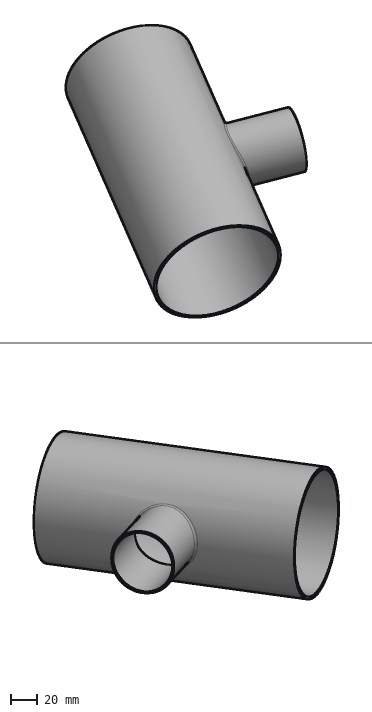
import cadquery as cq

run_length = 209.5
run_outer_diameter = 101.6
run_inner_diameter = 97.5

branch_outer_diameter = 50.7
branch_inner_diameter = 47.5

overall_depth = 149.2
weld_fillet_radius = 1.7

branch_reach = overall_depth - run_outer_diameter / 2


def run_cylinder(diameter):
    """Solid cylinder along X, centred on the origin."""
    return cq.Workplane("YZ").circle(diameter / 2).extrude(run_length / 2, both=True)


def branch_cylinder(diameter):
    """Solid cylinder from the run axis out to the branch end along +Y."""
    return cq.Workplane("XZ").circle(diameter / 2).extrude(-branch_reach)


body = run_cylinder(run_outer_diameter).union(branch_cylinder(branch_outer_diameter))

joint_box = cq.selectors.BoxSelector(
    (-branch_outer_diameter, 0, -branch_outer_diameter),
    (branch_outer_diameter, run_outer_diameter / 2 + weld_fillet_radius, branch_outer_diameter),
    boundingbox=True,
)
body = body.edges(joint_box).fillet(weld_fillet_radius)

result = body.cut(run_cylinder(run_inner_diameter)).cut(branch_cylinder(branch_inner_diameter))